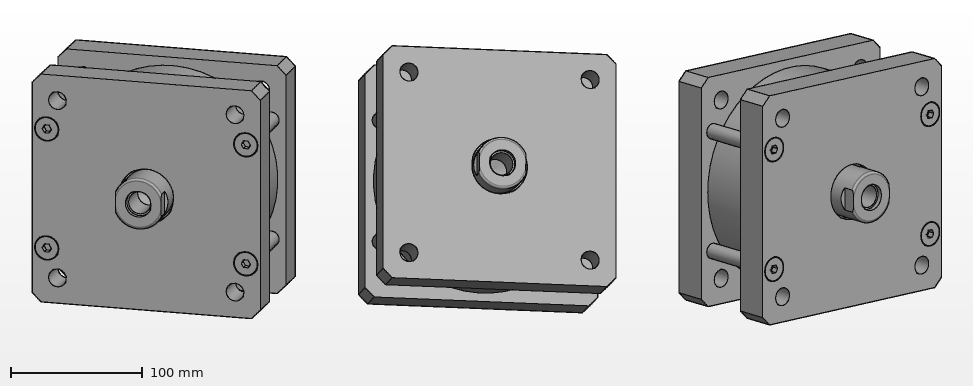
import cadquery as cq
import math

PLATE_SIDE = 180.0
PLATE_THICKNESS = 26.0
PLATE_CHAMFER = 7.0
BODY_DIAMETER = 167.0
BODY_LENGTH = 45.0

ROD_DIAMETER = 40.0
ROD_FRONT_REACH = 22.1
ROD_BACK_REACH = 12.0
ROD_END_FILLET = 1.8
FLATS_WIDTH = 36.0
FLATS_LENGTH = 10.0
ROD_RECESS_DIAMETER = 43.0
ROD_RECESS_DEPTH = 5.0

BORE_DIAMETER = 17.3
BORE_DEPTH = 28.8
BORE_TIP_ANGLE = 118.0
BORE_MOUTH_DIAMETER = 20.2
BORE_MOUTH_DEPTH = 4.0

MOUNT_HOLE_DIAMETER = 13.9
MOUNT_HOLE_SPACING = 140.0
SCREW_SPACING_X = 157.0
SCREW_SPACING_Z = 94.0
SCREW_DIAMETER = 12.0
SCREW_HEAD_DIAMETER = 18.0
SCREW_HEAD_HEIGHT = 12.0
SCREW_RECESS_DIAMETER = 19.0
SOCKET_WIDTH = 6.1
SOCKET_DEPTH = 5.4
HEX_SIDES = 6

FRONT_INNER_Y = -BODY_LENGTH / 2
BACK_INNER_Y = BODY_LENGTH / 2
FRONT_FACE_Y = FRONT_INNER_Y - PLATE_THICKNESS
BACK_FACE_Y = BACK_INNER_Y + PLATE_THICKNESS
ROD_FRONT_Y = FRONT_FACE_Y - ROD_FRONT_REACH
ROD_BACK_Y = BACK_FACE_Y + ROD_BACK_REACH


def plane_at(y):
    """XZ work plane at the given Y, with its normal along +Y and local y along +Z."""
    return cq.Workplane(cq.Plane(origin=(0, y, 0), xDir=(-1, 0, 0), normal=(0, 1, 0)))


def make_plate(inner_y):
    """Square end plate with chamfered corners, growing toward +Y from inner_y."""
    plate = plane_at(inner_y).rect(PLATE_SIDE, PLATE_SIDE).extrude(PLATE_THICKNESS)
    return plate.edges("|Y").chamfer(PLATE_CHAMFER)


def mount_holes():
    length = BACK_FACE_Y - FRONT_FACE_Y
    holes = plane_at(FRONT_FACE_Y).rect(MOUNT_HOLE_SPACING, MOUNT_HOLE_SPACING, forConstruction=True)
    return holes.vertices().circle(MOUNT_HOLE_DIAMETER / 2).extrude(length)


def at_screws(y):
    """Work plane at the given Y with a point on each tie-screw axis."""
    return plane_at(y).rect(SCREW_SPACING_X, SCREW_SPACING_Z, forConstruction=True).vertices()


def tie_rods():
    return at_screws(FRONT_INNER_Y).circle(SCREW_DIAMETER / 2).extrude(BODY_LENGTH)


def screw_head_gaps():
    """Thin annular clearance around each sunk screw head."""
    gaps = at_screws(FRONT_FACE_Y).circle(SCREW_RECESS_DIAMETER / 2).extrude(SCREW_HEAD_HEIGHT)
    heads = at_screws(FRONT_FACE_Y).circle(SCREW_HEAD_DIAMETER / 2).extrude(SCREW_HEAD_HEIGHT)
    return gaps.cut(heads)


def screw_sockets():
    """Hexagon sockets with two corners of each pointing along X."""
    across_corners = SOCKET_WIDTH / math.cos(math.pi / HEX_SIDES)
    return at_screws(FRONT_FACE_Y).polygon(HEX_SIDES, across_corners).extrude(SOCKET_DEPTH)


def rod_recess(start_y, direction):
    """Clearance around the rod, sunk into a plate from its outer face."""
    return plane_at(start_y).circle(ROD_RECESS_DIAMETER / 2).extrude(direction * ROD_RECESS_DEPTH)


def rod_blank():
    rod = plane_at(ROD_FRONT_Y).circle(ROD_DIAMETER / 2).extrude(ROD_BACK_Y - ROD_FRONT_Y)
    return rod.faces("<Y or >Y").edges().fillet(ROD_END_FILLET)


def wrench_flats(end_y, inward):
    """Material beside the two flats of a rod end; each flat runs out on a 45 degree slope."""
    flat = FLATS_WIDTH / 2
    outside = ROD_DIAMETER / 2
    slope = outside - flat
    flat_end_y = end_y + inward * FLATS_LENGTH
    cutter = (
        cq.Workplane("XY")
        .workplane(offset=-outside)
        .moveTo(flat, end_y)
        .lineTo(flat, flat_end_y)
        .lineTo(outside, flat_end_y + inward * slope)
        .lineTo(outside, end_y)
        .close()
        .extrude(ROD_DIAMETER)
    )
    return cutter.union(cutter.mirror("YZ"))


def rod_bore(end_y, inward):
    """Blind drilled hole with a conical bottom and a wider mouth."""
    radius = BORE_DIAMETER / 2
    tip_length = radius / math.tan(math.radians(BORE_TIP_ANGLE / 2))
    mouth_radius = BORE_MOUTH_DIAMETER / 2
    profile = (
        cq.Workplane("XY")
        .moveTo(0, end_y)
        .lineTo(mouth_radius, end_y)
        .lineTo(mouth_radius, end_y + inward * BORE_MOUTH_DEPTH)
        .lineTo(radius, end_y + inward * BORE_MOUTH_DEPTH)
        .lineTo(radius, end_y + inward * BORE_DEPTH)
        .lineTo(0, end_y + inward * (BORE_DEPTH + tip_length))
        .close()
    )
    return profile.revolve(360, (0, 0, 0), (0, 1, 0))


housing = plane_at(FRONT_INNER_Y).circle(BODY_DIAMETER / 2).extrude(BODY_LENGTH)
housing = housing.union(make_plate(FRONT_FACE_Y)).union(make_plate(BACK_INNER_Y)).union(tie_rods())
housing = housing.cut(mount_holes()).cut(screw_head_gaps()).cut(screw_sockets())
housing = housing.cut(rod_recess(FRONT_FACE_Y, 1)).cut(rod_recess(BACK_FACE_Y, -1))

result = housing.union(rod_blank())
for rod_end_y, into_rod in ((ROD_FRONT_Y, 1), (ROD_BACK_Y, -1)):
    result = result.cut(wrench_flats(rod_end_y, into_rod)).cut(rod_bore(rod_end_y, into_rod))